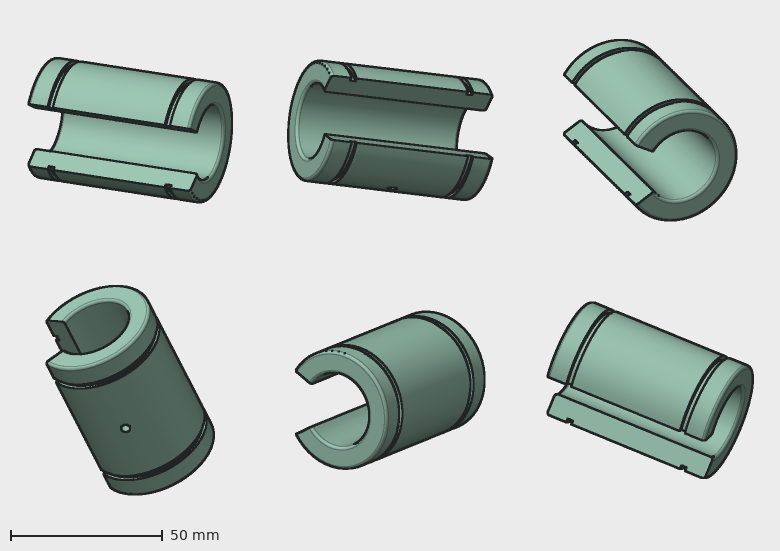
import cadquery as cq
import math

length = 58.0
outer_diameter = 40.0
bore_diameter = 25.0
edge_radius = 1.0

groove_diameter = 37.45
groove_width = 1.85
groove_inset = 7.2

opening_angle = 60.0
opening_corner_y = -16.7

screw_hole_diameter = 3.0

outer_radius = outer_diameter / 2
bore_radius = bore_diameter / 2
screw_hole_depth = (outer_radius - bore_radius) / 2


def make_sleeve():
    """Tube along X, centred on the origin, with rounded end edges."""
    tube = cq.Workplane("YZ").circle(outer_radius).circle(bore_radius).extrude(length / 2, both=True)
    return tube.faces("<X or >X").edges().fillet(edge_radius)


def make_groove(start_x):
    """Ring to remove for a retaining ring groove starting at start_x."""
    return (
        cq.Workplane("YZ", origin=(start_x, 0, 0))
        .circle(outer_diameter)
        .circle(groove_diameter / 2)
        .extrude(groove_width)
    )


def make_opening():
    """Wedge to remove along the -Y side, widening outwards."""
    slope = math.tan(math.radians(opening_angle / 2))
    corner_z = math.sqrt(outer_radius**2 - opening_corner_y**2)
    apex_y = opening_corner_y + corner_z / slope
    far_y = -outer_diameter
    far_z = (apex_y - far_y) * slope
    return (
        cq.Workplane("YZ")
        .polyline([(apex_y, 0), (far_y, far_z), (far_y, -far_z)])
        .close()
        .extrude(length, both=True)
    )


def make_screw_hole():
    """Blind locating hole entering the -Z side at mid length."""
    return (
        cq.Workplane("XY", origin=(0, 0, -outer_radius))
        .circle(screw_hole_diameter / 2)
        .extrude(screw_hole_depth)
    )


result = make_sleeve()
first_groove_x = -length / 2 + groove_inset
for groove_x in (first_groove_x, -first_groove_x - groove_width):
    result = result.cut(make_groove(groove_x))
result = result.cut(make_opening())
result = result.cut(make_screw_hole())